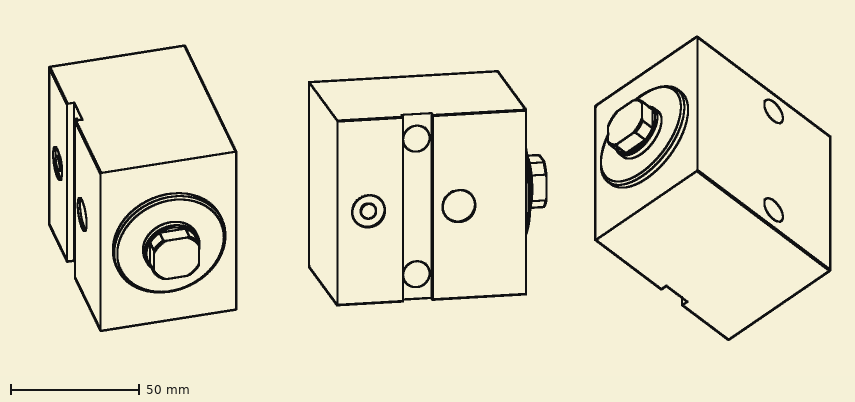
import cadquery as cq

total_length = 87.0
rod_tip_length = 6.0
rod_collar_length = 3.0
cap_length = 3.05
block_length = total_length - cap_length - rod_collar_length - rod_tip_length
block_depth = 55.0
block_height = 75.0
block_edge_chamfer = 0.35
front_y = -block_depth / 2

groove_center_x = 32.0
groove_width = 11.8
groove_depth = 3.0
mount_hole_diameter = 10.5
mount_hole_spacing = 55.0

rear_port_x = 12.4
front_port_x = 48.4
port_diameter = 13.0
port_depth = 1.0
port_island_diameter = 6.0

cap_diameter = 45.0
cap_chamfer = 1.0
rod_collar_diameter = 22.3
rod_collar_chamfer = 0.6
rod_tip_diameter = 21.0
rod_tip_chamfer = 0.4
rod_tip_across_flats = 18.2


def cylinder_along_x(start_x, diameter, length):
    return cq.Workplane("YZ").workplane(offset=start_x).circle(diameter / 2).extrude(length)


def cylinder_from_front(x, z, diameter, depth):
    """Cylinder that starts on the -Y face and goes inward along +Y."""
    start = cq.Vector(x, front_y, z)
    return cq.Workplane(cq.Solid.makeCylinder(diameter / 2, depth, start, cq.Vector(0, 1, 0)))


def make_block():
    block = (
        cq.Workplane("XY")
        .box(block_length, block_depth, block_height, centered=(False, True, True))
        .edges("|X")
        .chamfer(block_edge_chamfer)
    )

    groove = (
        cq.Workplane("XY")
        .box(groove_width, groove_depth, block_height, centered=(True, False, True))
        .translate((groove_center_x, front_y, 0))
    )
    block = block.cut(groove)

    for side in (-1, 1):
        hole_z = side * mount_hole_spacing / 2
        block = block.cut(cylinder_from_front(groove_center_x, hole_z, mount_hole_diameter, block_depth))

    island = cylinder_from_front(rear_port_x, 0, port_island_diameter, port_depth)
    rear_port = cylinder_from_front(rear_port_x, 0, port_diameter, port_depth).cut(island)
    front_port = cylinder_from_front(front_port_x, 0, port_diameter, port_depth)
    return block.cut(rear_port).cut(front_port)


def make_cap():
    return cylinder_along_x(block_length, cap_diameter, cap_length).faces(">X").chamfer(cap_chamfer)


def make_rod():
    collar_x = block_length + cap_length
    tip_x = collar_x + rod_collar_length
    collar = cylinder_along_x(collar_x, rod_collar_diameter, rod_collar_length)
    collar = collar.faces(">X").chamfer(rod_collar_chamfer)

    tip = cylinder_along_x(tip_x, rod_tip_diameter, rod_tip_length).faces(">X").chamfer(rod_tip_chamfer)
    square_bar = (
        cq.Workplane("YZ")
        .workplane(offset=tip_x)
        .rect(rod_tip_across_flats, rod_tip_across_flats)
        .extrude(rod_tip_length)
    )
    return collar.union(tip.intersect(square_bar))


block = make_block()
cap = make_cap()
rod = make_rod()

result = cq.Compound.makeCompound([block.val(), cap.val(), rod.val()])